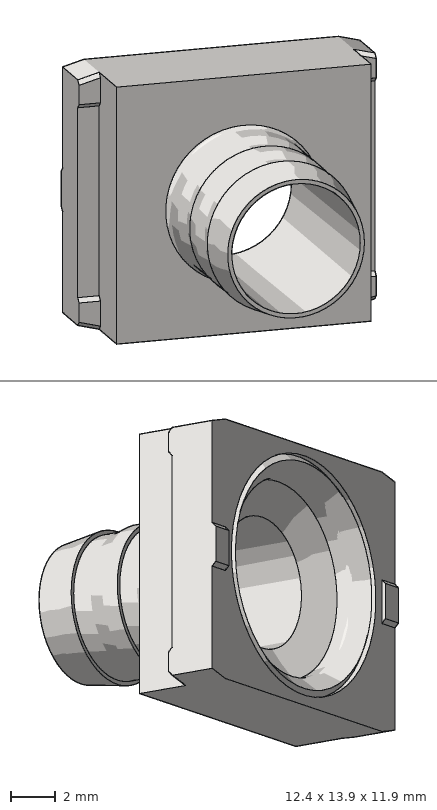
import cadquery as cq
import math

flange_side = 11.9
flange_thickness = 4.71
half_side = flange_side / 2

overall_width = 13.9
rail_width = (overall_width - flange_side) / 2
rail_depth = 2.2
rail_end_drop = 0.26
pad_height = 0.2
front_pad_length = 2.0
rear_pad_length = 1.36

collar_radius = 5.49
collar_back = 4.03
rim_radius = 5.18
rim_drop = collar_radius - rim_radius

throat_radius = 4.5
throat_end = 1.42
throat_blend = 0.3
bore_radius = 3.0
funnel_angle = 30.0
funnel_end = throat_end + (throat_radius - bore_radius) * math.tan(math.radians(funnel_angle))

crest_radius = 3.5
root_radius = 3.31
tip_radius = 3.2
flare_length = 0.3
flare_rise = 0.15
foot_radius = crest_radius + flare_rise
tube_end = 12.2
first_crest_end = 6.0
first_root_start = 6.75
second_crest_start = 7.69
second_crest_end = 8.5
second_root_start = 9.27
tip_barb_start = 10.22


def revolve_about_x(profile):
    return profile.close().revolve(360, (0, 0, 0), (1, 0, 0))


def make_rail():
    """Rail on the -Y side: a bar with sloped ends, a front pad and two rear pads."""
    outer_half_height = half_side - rail_end_drop
    outer_y = -half_side - rail_width
    bar = (
        cq.Workplane("YZ")
        .polyline([
            (-half_side, -half_side),
            (-half_side, half_side),
            (outer_y, outer_half_height),
            (outer_y, -outer_half_height),
        ])
        .close()
        .extrude(rail_depth + pad_height)
        .faces(">X")
        .edges(">Z or <Z")
        .chamfer(pad_height)
    )
    return bar.cut(make_rear_relief()).union(make_front_pad())


def extrude_across_rail(points):
    """Prism of an XZ outline across the width of the -Y rail."""
    return (
        cq.Workplane("XZ", origin=(0, -half_side, 0))
        .polyline(points)
        .close()
        .extrude(rail_width)
    )


def make_rear_relief():
    """Cutter that leaves one rear pad at each end of the rail."""
    rear_x = rail_depth + pad_height
    wide_half = half_side - rear_pad_length
    narrow_half = wide_half - pad_height
    return extrude_across_rail([
        (rear_x, -wide_half),
        (rail_depth, -narrow_half),
        (rail_depth, narrow_half),
        (rear_x, wide_half),
    ])


def make_front_pad():
    base_half = front_pad_length / 2
    top_half = base_half - pad_height
    return extrude_across_rail([
        (0, -base_half),
        (-pad_height, -top_half),
        (-pad_height, top_half),
        (0, base_half),
    ])


def make_housing():
    """Square flange with rails, a pocket for the collar and a rear hole for the tube."""
    flange = cq.Workplane("XY").box(
        flange_thickness, flange_side, flange_side, centered=(False, True, True)
    )
    pocket = cq.Workplane("YZ").circle(collar_radius).extrude(collar_back)
    rear_hole = cq.Workplane("YZ").circle(foot_radius).extrude(flange_thickness)
    rail = make_rail()
    return flange.union(rail).union(rail.mirror("XZ")).cut(pocket).cut(rear_hole)


def make_tube():
    """Barbed tube with a collar at its front and a concave flare where it leaves the flange."""
    blend_angle = math.radians(45)
    blend_center_x = rim_radius - throat_radius + throat_blend * math.tan(blend_angle / 2)
    blend_center_radius = throat_radius + throat_blend

    def blend_point(angle):
        return (
            blend_center_x - throat_blend * math.sin(angle),
            blend_center_radius - throat_blend * math.cos(angle),
        )

    flare_radius = (flare_length**2 + flare_rise**2) / (2 * flare_rise)
    flare_half_angle = math.asin(flare_length / flare_radius) / 2
    flare_end = flange_thickness + flare_length
    flare_middle = (
        flare_end - flare_radius * math.sin(flare_half_angle),
        crest_radius + flare_radius * (1 - math.cos(flare_half_angle)),
    )
    return revolve_about_x(
        cq.Workplane("XY")
        .moveTo(0, rim_radius)
        .lineTo(rim_drop, collar_radius)
        .lineTo(collar_back, collar_radius)
        .lineTo(collar_back, foot_radius)
        .lineTo(flange_thickness, foot_radius)
        .threePointArc(flare_middle, (flare_end, crest_radius))
        .lineTo(first_crest_end, crest_radius)
        .lineTo(first_root_start, root_radius)
        .lineTo(second_crest_start, root_radius)
        .lineTo(second_crest_start, crest_radius)
        .lineTo(second_crest_end, crest_radius)
        .lineTo(second_root_start, root_radius)
        .lineTo(tip_barb_start, root_radius)
        .lineTo(tip_barb_start, crest_radius)
        .lineTo(tube_end, tip_radius)
        .lineTo(tube_end, bore_radius)
        .lineTo(funnel_end, bore_radius)
        .lineTo(throat_end, throat_radius)
        .lineTo(*blend_point(0))
        .threePointArc(blend_point(blend_angle / 2), blend_point(blend_angle))
    )


housing = make_housing()
tube = make_tube()

result = cq.Compound.makeCompound([housing.val(), tube.val()])